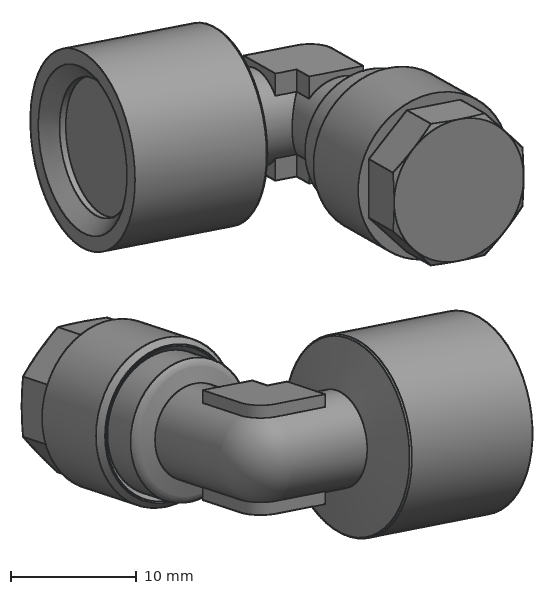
import cadquery as cq
import math

overall_length = 31.65
overall_width = 27.98
socket_diameter = 16.5
nut_diameter = 13.95
tube_diameter = 8.0

tube_radius = tube_diameter / 2

socket_radius = socket_diameter / 2
socket_end = overall_width - nut_diameter / 2
shoulder_start = 7.63
shoulder_end = 8.7
shoulder_radius = 8.13
socket_wall_start = 8.85
bore_radius = 5.73
bore_mouth_radius = 6.95
bore_cone_depth = bore_mouth_radius - bore_radius
bore_depth = 1.8

collar_start = 8.58
collar_radius = 5.92
collar_cone_end = 8.9
collar_cone_radius = 5.35
collar_wall_start = 9.27
nut_start = 11.9
nut_end = 19.43
nut_radius = nut_diameter / 2
nut_chamfer = 0.5
nut_recess_radius = 6.33
nut_recess_depth = 0.38
octagon_end = overall_length - socket_radius
octagon_flats = 11.95
octagon_sides = 8
octagon_corner_radius = octagon_flats / 2 / math.cos(math.pi / octagon_sides)
octagon_chamfer = 0.2

pad_offset = 2.0
pad_reach = 4.97
pad_notch = 3.0
pad_height = 4.53


def revolve_y(points):
    """Turn an outline of (radius, y) points about the Y axis."""
    return cq.Workplane("XY").polyline(points).close().revolve(360, (0, 0), (0, 1))


def make_elbow():
    ball = cq.Workplane("XY").sphere(tube_radius)
    socket_tube = cq.Workplane("XZ").circle(tube_radius).extrude(shoulder_end)
    collar_tube = cq.Workplane("YZ").circle(tube_radius).extrude(nut_start)
    return ball.union(socket_tube).union(collar_tube)


def make_socket():
    body = revolve_y([
        (0, -shoulder_start),
        (tube_radius, -shoulder_start),
        (shoulder_radius, -shoulder_end),
        (socket_radius, -socket_wall_start),
        (socket_radius, -socket_end),
        (0, -socket_end),
    ])
    bore = revolve_y([
        (0, -socket_end),
        (bore_mouth_radius, -socket_end),
        (bore_radius, bore_cone_depth - socket_end),
        (bore_radius, bore_depth - socket_end),
        (0, bore_depth - socket_end),
    ])
    return body.cut(bore)


def make_collar_and_nut():
    """Collar with a cone and rounded rim, and a nut countersunk around the collar."""
    return (
        cq.Workplane("XY")
        .moveTo(collar_start, 0)
        .lineTo(collar_start, tube_radius)
        .lineTo(collar_cone_end, collar_cone_radius)
        .tangentArcPoint((collar_wall_start, collar_radius), relative=False)
        .lineTo(nut_start + nut_recess_depth, collar_radius)
        .lineTo(nut_start, nut_recess_radius)
        .lineTo(nut_start, nut_radius - nut_chamfer)
        .lineTo(nut_start + nut_chamfer, nut_radius)
        .lineTo(nut_end, nut_radius)
        .lineTo(nut_end, 0)
        .close()
        .revolve(360, (0, 0), (1, 0))
    )


def make_octagon_end():
    """Octagon with flats facing Y and Z, its corners trimmed by a cone at the end."""
    prism = (
        cq.Workplane("YZ", origin=(nut_end, 0, 0))
        .transformed(rotate=(0, 0, 180 / octagon_sides))
        .polygon(octagon_sides, 2 * octagon_corner_radius)
        .extrude(octagon_end - nut_end)
    )
    trim = (
        cq.Workplane("YZ", origin=(nut_end, 0, 0))
        .circle(octagon_corner_radius)
        .extrude(octagon_end - nut_end)
        .faces(">X")
        .chamfer(octagon_chamfer, octagon_corner_radius - octagon_flats / 2)
    )
    return prism.intersect(trim)


def make_pads():
    """L-shaped block through the elbow; its two ends stand out as the pads."""
    arc_middle = (
        -pad_offset * math.sqrt(0.5),
        pad_offset * math.sqrt(0.5),
    )
    return (
        cq.Workplane("XY", origin=(0, 0, -pad_height))
        .moveTo(-pad_offset, 0)
        .threePointArc(arc_middle, (0, pad_offset))
        .lineTo(pad_reach, pad_offset)
        .lineTo(pad_reach, -pad_notch)
        .lineTo(pad_notch, -pad_notch)
        .lineTo(pad_notch, -pad_reach)
        .lineTo(-pad_offset, -pad_reach)
        .close()
        .extrude(2 * pad_height)
    )


result = (
    make_elbow()
    .union(make_socket())
    .union(make_collar_and_nut())
    .union(make_octagon_end())
    .union(make_pads())
)